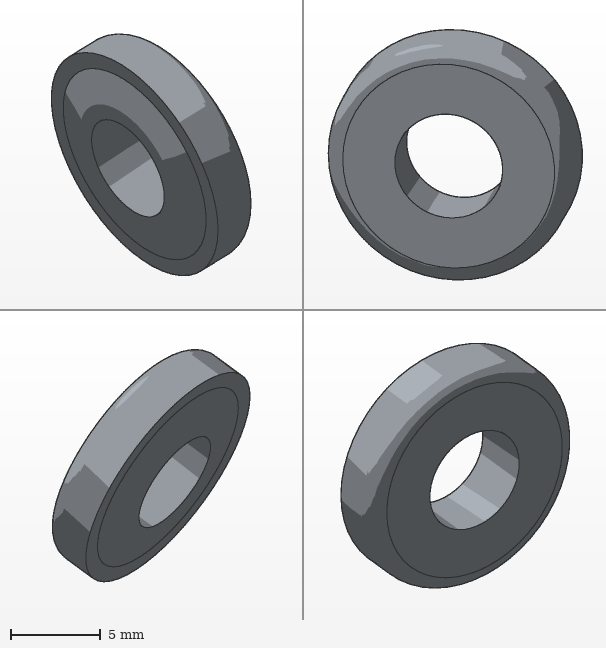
import cadquery as cq
import math

outer_radius = 7.0
ring_width = 1.0
ring_thickness = 3.0
bore_radius = 3.05
sealing_face_radius = 4.0
seal_projection = 0.5

insert_radius = outer_radius - ring_width


def revolve_about_y(profile):
    """Turn a closed half-section, drawn as (radius, Y), into a solid."""
    return profile.close().revolve(360, (0, 0), (0, 1))


def make_outer_ring():
    """Plain ring whose back face is a full quarter round out to the rim."""
    rim_end = ring_thickness - ring_width
    round_middle = (
        insert_radius + ring_width * math.cos(math.pi / 4),
        rim_end + ring_width * math.sin(math.pi / 4),
    )
    profile = (
        cq.Workplane("XY")
        .moveTo(insert_radius, 0)
        .lineTo(outer_radius, 0)
        .lineTo(outer_radius, rim_end)
        .threePointArc(round_middle, (insert_radius, ring_thickness))
    )
    return revolve_about_y(profile)


def make_seal_insert():
    """Bored insert filling the ring, with a conical shoulder up to its sealing face."""
    profile = (
        cq.Workplane("XY")
        .moveTo(bore_radius, -seal_projection)
        .lineTo(sealing_face_radius, -seal_projection)
        .lineTo(insert_radius, 0)
        .lineTo(insert_radius, ring_thickness)
        .lineTo(bore_radius, ring_thickness)
    )
    return revolve_about_y(profile)


outer_ring = make_outer_ring()
seal_insert = make_seal_insert()

result = cq.Compound.makeCompound([outer_ring.val(), seal_insert.val()])